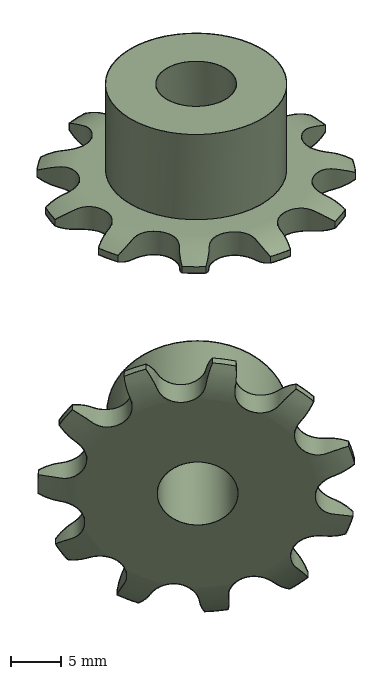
import cadquery as cq
import math

tooth_count = 11
chain_pitch = 8.0
seat_radius = 2.53
flank_radius = 8.22

tip_radius = 15.85
flat_face_radius = 11.95
disc_thickness = 2.8
tip_thickness = 0.8
hub_diameter = 18.0
bore_diameter = 8.0
total_height = 13.0

half_pitch_angle = math.pi / tooth_count
pitch_radius = chain_pitch / 2 / math.sin(half_pitch_angle)
root_radius = pitch_radius - seat_radius


def crowned_disc():
    """Disc whose two faces curve smoothly towards a thin rim."""
    lower_rim = (disc_thickness - tip_thickness) / 2
    upper_rim = lower_rim + tip_thickness
    return (
        cq.Workplane("XZ")
        .lineTo(flat_face_radius, 0)
        .tangentArcPoint((tip_radius, lower_rim), relative=False)
        .lineTo(tip_radius, upper_rim)
        .threePointArc(crown_midpoint(), (flat_face_radius, disc_thickness))
        .lineTo(0, disc_thickness)
        .close()
        .revolve(360, (0, 0, 0), (0, 1, 0))
    )


def crown_midpoint():
    """Halfway point of the upper crown arc, which is tangent to the top face."""
    width = tip_radius - flat_face_radius
    drop = (disc_thickness - tip_thickness) / 2
    crown_radius = (width**2 + drop**2) / (2 * drop)
    half_sweep = math.asin(width / crown_radius) / 2
    return (
        flat_face_radius + crown_radius * math.sin(half_sweep),
        disc_thickness - crown_radius * (1 - math.cos(half_sweep)),
    )


def tooth_gap():
    """Cutter for the gap centred on +Y: roller seat plus two convex flanks."""
    sine = math.sin(half_pitch_angle)
    cosine = math.cos(half_pitch_angle)
    seat_end = (seat_radius * cosine, pitch_radius - seat_radius * sine)
    flank_center = (
        seat_end[0] + flank_radius * cosine,
        seat_end[1] - flank_radius * sine,
    )

    def flank_point(turn):
        angle = half_pitch_angle + turn
        return (
            flank_center[0] - flank_radius * math.cos(angle),
            flank_center[1] + flank_radius * math.sin(angle),
        )

    def mirrored(point):
        return (-point[0], point[1])

    flank_sweep = math.radians(25)
    flank_middle = flank_point(flank_sweep / 2)
    flank_end = flank_point(flank_sweep)
    return (
        cq.Workplane("XY")
        .moveTo(*flank_end)
        .threePointArc(flank_middle, seat_end)
        .threePointArc((0, root_radius), mirrored(seat_end))
        .threePointArc(mirrored(flank_middle), mirrored(flank_end))
        .close()
        .extrude(disc_thickness)
    )


sprocket = crowned_disc()
gap = tooth_gap()
for index in range(tooth_count):
    gap_angle = math.degrees((2 * index + 1) * half_pitch_angle)
    sprocket = sprocket.cut(gap.rotate((0, 0, 0), (0, 0, 1), gap_angle))

hub = cq.Workplane("XY").circle(hub_diameter / 2).extrude(total_height)
bore = cq.Workplane("XY").circle(bore_diameter / 2).extrude(total_height)

result = sprocket.union(hub).cut(bore)